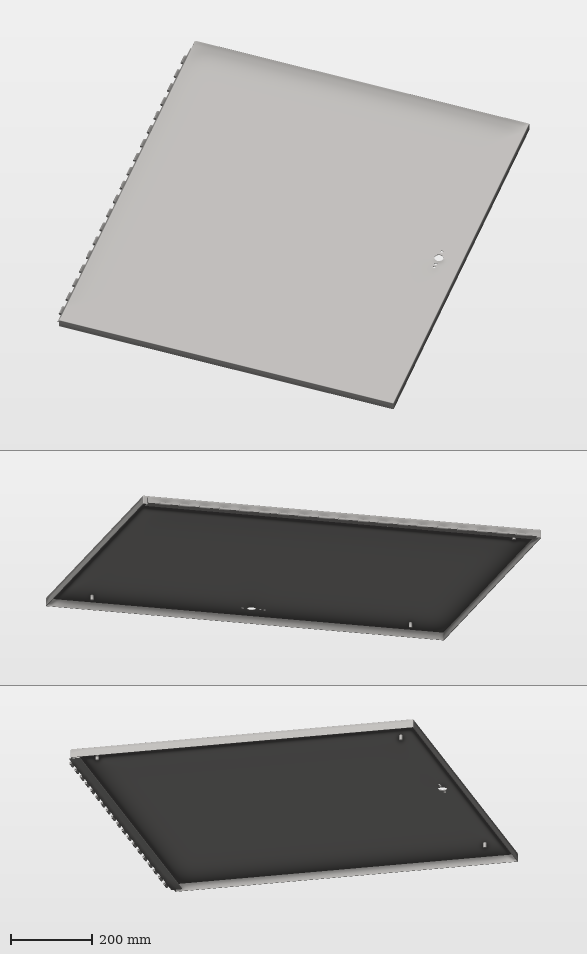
import cadquery as cq

OVERALL_X = 888.0
DOOR_Y = 1021.0
OVERALL_Z = 25.0
X_MIN = -OVERALL_X / 2
X_MAX = OVERALL_X / 2

SHEET = 2.0
WALL_CUT = 4 * SHEET
DOOR_LEFT = X_MIN + 14.0
DOOR_X = X_MAX - DOOR_LEFT
DOOR_CENTER_X = (X_MAX + DOOR_LEFT) / 2
DOOR_BOTTOM = 3.0
DOOR_HEIGHT = OVERALL_Z - DOOR_BOTTOM
LEFT_BEND = 4.3
TAB_BEND = 3.0
PANEL_BEND = 1.7
SEAM_FROM_END = 12.0
SEAM_WIDTH = 1.0
SEAM_Y = DOOR_Y / 2 - SEAM_FROM_END

LOCK_X = X_MAX - 59.0
LOCK_DIAMETER = 22.0
LOCK_SCREW_DIAMETER = 7.0
LOCK_SCREW_OFFSET = 22.0
LOCK_PILOT_DIAMETER = 6.3
LOCK_PILOT_OFFSET = 34.0

STUD_DIAMETER = 8.6
STUD_LENGTH = 12.0
STUD_LEFT_INSET = 54.0
STUD_RIGHT_INSET = 58.0
STUD_RIGHT_END_INSET = 102.0
STUD_CENTERS = [
    (DOOR_LEFT + STUD_LEFT_INSET, -DOOR_Y / 2 + STUD_LEFT_INSET),
    (X_MAX - STUD_RIGHT_INSET, -DOOR_Y / 2 + STUD_RIGHT_END_INSET),
    (X_MAX - STUD_RIGHT_INSET, DOOR_Y / 2 - STUD_RIGHT_END_INSET),
]

KNUCKLE_DIAMETER = 6.3
KNUCKLE_COUNT = 19
KNUCKLE_PITCH = 50.8
KNUCKLE_LENGTH = 26.0
LEAF_LENGTH = 996.0
LEAF_EDGE = X_MIN + 7.0
LEAF_RIGHT = DOOR_LEFT + 20.0
LEAF_SHEET = 2.2
LEAF_TOP = KNUCKLE_DIAMETER


def panel_block(length, left_bend):
    """Solid block with the outline of the door, its left and right top edges rounded."""
    block = (
        cq.Workplane("XY", origin=(DOOR_CENTER_X, 0, DOOR_BOTTOM))
        .box(DOOR_X, length, DOOR_HEIGHT, centered=(True, True, False))
    )
    block = block.faces(">X").edges(">Z").fillet(PANEL_BEND)
    return block.faces("<X").edges(">Z").fillet(left_bend)


def make_tray():
    """Folded sheet; the left bend is larger between the seams than on the corner tabs."""
    between_seams = cq.Workplane("XY").box(2 * OVERALL_X, 2 * SEAM_Y, 4 * OVERALL_Z)
    whole = panel_block(DOOR_Y, TAB_BEND)
    for end in ("<Y", ">Y"):
        whole = whole.faces(end).edges(">Z").fillet(PANEL_BEND)
    outside = whole.cut(between_seams).union(panel_block(2 * SEAM_Y, LEFT_BEND))
    inside = (
        cq.Workplane("XY", origin=(DOOR_CENTER_X, 0, DOOR_BOTTOM))
        .box(DOOR_X - 2 * SHEET, DOOR_Y - 2 * SHEET, DOOR_HEIGHT - SHEET, centered=(True, True, False))
    )
    return outside.cut(inside)


def corner_seams():
    """Slits that part the left wall from the tabs at its two corners."""
    return (
        cq.Workplane("XY", origin=(DOOR_LEFT, 0, DOOR_BOTTOM))
        .pushPoints([(0, -SEAM_Y), (0, SEAM_Y)])
        .rect(WALL_CUT, SEAM_WIDTH)
        .extrude(DOOR_HEIGHT - LEFT_BEND)
    )


def through_hole(diameter, y):
    return cq.Workplane("XY").center(LOCK_X, y).circle(diameter / 2).extrude(2 * OVERALL_Z)


def make_door():
    door = make_tray().cut(corner_seams())
    door = door.cut(through_hole(LOCK_DIAMETER, 0))
    for side in (-1, 1):
        door = door.cut(through_hole(LOCK_SCREW_DIAMETER, side * LOCK_SCREW_OFFSET))
    door = door.cut(through_hole(LOCK_PILOT_DIAMETER, -LOCK_PILOT_OFFSET))
    leaf_clearance = (
        cq.Workplane("XY", origin=(DOOR_LEFT, 0, 0))
        .box(WALL_CUT, LEAF_LENGTH, 2 * LEAF_TOP)
    )
    return door.cut(leaf_clearance)


def make_hinge_leaf():
    leaf = (
        cq.Workplane("XY", origin=(LEAF_EDGE, 0, LEAF_TOP - LEAF_SHEET))
        .box(LEAF_RIGHT - LEAF_EDGE, LEAF_LENGTH, LEAF_SHEET, centered=(False, True, False))
    )
    first_y = -KNUCKLE_PITCH * (KNUCKLE_COUNT - 1) / 2
    for i in range(KNUCKLE_COUNT):
        leaf = leaf.union(make_knuckle(first_y + i * KNUCKLE_PITCH))
    return leaf


def make_knuckle(y):
    """Rolled end of the leaf: a hollow barrel whose top runs straight into the strip."""
    outer = KNUCKLE_DIAMETER / 2
    bore = outer - LEAF_SHEET
    axis_x = X_MIN + outer
    tab = (
        cq.Workplane("XY", origin=(axis_x, y, LEAF_TOP - LEAF_SHEET))
        .box(LEAF_EDGE - axis_x, KNUCKLE_LENGTH, LEAF_SHEET, centered=(False, True, False))
    )
    barrel = (
        cq.Workplane("XZ", origin=(axis_x, y, outer))
        .circle(outer)
        .circle(bore)
        .extrude(KNUCKLE_LENGTH / 2, both=True)
    )
    return barrel.union(tab)


def make_stud(x, y):
    return (
        cq.Workplane("XY", origin=(x, y, OVERALL_Z - SHEET))
        .circle(STUD_DIAMETER / 2)
        .extrude(-STUD_LENGTH)
    )


door = make_door()
hinge_leaf = make_hinge_leaf()
studs = [make_stud(x, y) for x, y in STUD_CENTERS]

result = cq.Compound.makeCompound([door.val(), hinge_leaf.val(), *[stud.val() for stud in studs]])